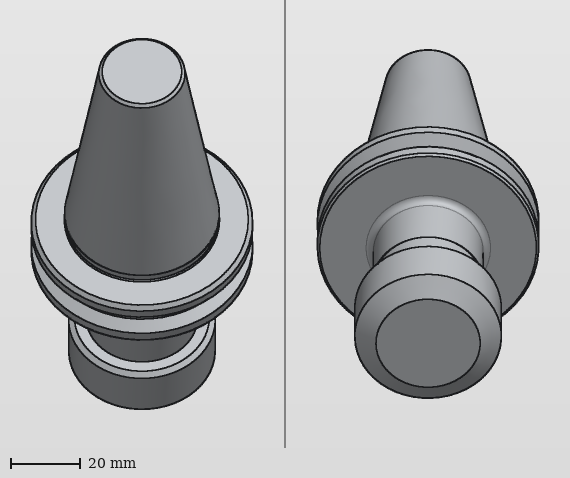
import cadquery as cq
import math

total_height = 138.4

gauge_radius = 22.21
gauge_height = 70.0
taper_ratio = 7 / 24
shank_top_radius = gauge_radius - (total_height - gauge_height) * taper_ratio / 2
shank_chamfer_width = 0.8
shank_chamfer_depth = 0.8
shank_base_radius = 21.9
shank_step_height = 0.4
shank_foot_chamfer = 0.4

flange_radius = 31.76
flange_bottom = 51.1
flange_top = 67.0
flange_top_chamfer = 1.2
flange_bottom_chamfer = 0.7
groove_radius = 28.2
groove_center = 59.0
groove_floor_width = 3.7
groove_wall_angle = 30.0
groove_wall_rise = (flange_radius - groove_radius) * math.tan(math.radians(groove_wall_angle))
groove_half_floor = groove_floor_width / 2
groove_half_mouth = groove_half_floor + groove_wall_rise

neck_radius = 15.8
neck_fillet = 2.1
collar_radius = 16.0
collar_top = 32.0
collar_chamfer_height = 0.4

nut_radius = 21.0
nut_top = 19.9
nut_top_chamfer_width = 1.7
nut_top_chamfer_height = 1.2
nut_face_radius = 15.0
nut_bevel_height = 3.7

fillet_center_radius = neck_radius + neck_fillet
fillet_center_height = flange_bottom - neck_fillet
fillet_mid_offset = neck_fillet * math.sqrt(0.5)

profile = (
    cq.Workplane("XZ")
    .moveTo(0, 0)
    .lineTo(nut_face_radius, 0)
    .lineTo(nut_radius, nut_bevel_height)
    .lineTo(nut_radius, nut_top - nut_top_chamfer_height)
    .lineTo(nut_radius - nut_top_chamfer_width, nut_top)
    .lineTo(collar_radius, nut_top)
    .lineTo(collar_radius, collar_top - collar_chamfer_height)
    .lineTo(neck_radius, collar_top)
    .lineTo(neck_radius, fillet_center_height)
    .threePointArc(
        (fillet_center_radius - fillet_mid_offset, fillet_center_height + fillet_mid_offset),
        (fillet_center_radius, flange_bottom),
    )
    .lineTo(flange_radius - flange_bottom_chamfer, flange_bottom)
    .lineTo(flange_radius, flange_bottom + flange_bottom_chamfer)
    .lineTo(flange_radius, groove_center - groove_half_mouth)
    .lineTo(groove_radius, groove_center - groove_half_floor)
    .lineTo(groove_radius, groove_center + groove_half_floor)
    .lineTo(flange_radius, groove_center + groove_half_mouth)
    .lineTo(flange_radius, flange_top - flange_top_chamfer)
    .lineTo(flange_radius - flange_top_chamfer, flange_top)
    .lineTo(shank_base_radius + shank_foot_chamfer, flange_top)
    .lineTo(shank_base_radius, flange_top + shank_foot_chamfer)
    .lineTo(shank_base_radius, gauge_height - shank_step_height)
    .lineTo(gauge_radius, gauge_height)
    .lineTo(shank_top_radius + shank_chamfer_depth * taper_ratio / 2, total_height - shank_chamfer_depth)
    .lineTo(shank_top_radius - shank_chamfer_width, total_height)
    .lineTo(0, total_height)
    .close()
)

result = profile.revolve(360, (0, 0, 0), (0, 1, 0))